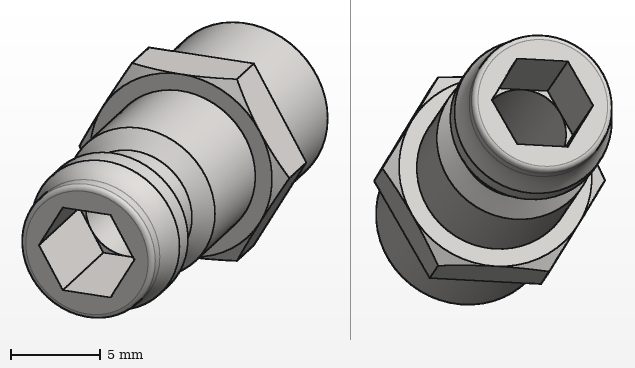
import cadquery as cq
import math

total_length = 24
shoulder_width = 1.0
rim_length = 0.3
nose_start = 0.98
collar_start = 2.75
collar_end = 4.0
groove_start = collar_end + shoulder_width
groove_end = 7.0
hex_start = 14.0
hex_end = 17.0

tip_radius = 4.0
rim_radius = 3.7
body_radius = 4.5
groove_radius = 3.5
thread_radius = 5.0
bore_radius = 2.5

thread_chamfer = 0.5
hex_across_flats = 11.0
hex_chamfer_angle = 30
socket_depth = 6


def hexagon(across_flats, start, length):
    """Hexagonal prism along +Y with two corners on the X direction."""
    across_corners = across_flats / math.cos(math.radians(30))
    return (
        cq.Workplane("XZ", origin=(0, start, 0))
        .polygon(6, across_corners)
        .extrude(-length)
    )


def turned_body():
    """Revolved outside of the plug, the groove and the threaded end."""
    profile = (
        cq.Workplane("XY")
        .lineTo(rim_radius, 0)
        .radiusArc((tip_radius, rim_length), -rim_length)
        .lineTo(tip_radius, nose_start)
        .tangentArcPoint((body_radius, collar_start), relative=False)
        .lineTo(body_radius, collar_end)
        .lineTo(groove_radius, groove_start)
        .lineTo(groove_radius, groove_end)
        .lineTo(body_radius, groove_end + shoulder_width)
        .lineTo(body_radius, hex_end)
        .lineTo(thread_radius, hex_end)
        .lineTo(thread_radius, total_length - thread_chamfer)
        .lineTo(thread_radius - thread_chamfer, total_length)
        .lineTo(0, total_length)
        .close()
    )
    return profile.revolve(360, (0, 0, 0), (0, 1, 0))


def hex_collar():
    """Wrench hexagon with its corners turned off on the plug side."""
    face_radius = hex_across_flats / 2
    hex_length = hex_end - hex_start
    flare = hex_length / math.tan(math.radians(hex_chamfer_angle))
    cone = (
        cq.Workplane("XY")
        .moveTo(0, hex_start)
        .lineTo(face_radius, hex_start)
        .lineTo(face_radius + flare, hex_end)
        .lineTo(0, hex_end)
        .close()
        .revolve(360, (0, 0, 0), (0, 1, 0))
    )
    return hexagon(hex_across_flats, hex_start, hex_length).intersect(cone)


bore = cq.Workplane("XZ").circle(bore_radius).extrude(-total_length)
socket = hexagon(2 * bore_radius, 0, socket_depth)

plug = turned_body().union(hex_collar()).cut(bore).cut(socket)
result = plug.translate((0, -total_length / 2, 0))